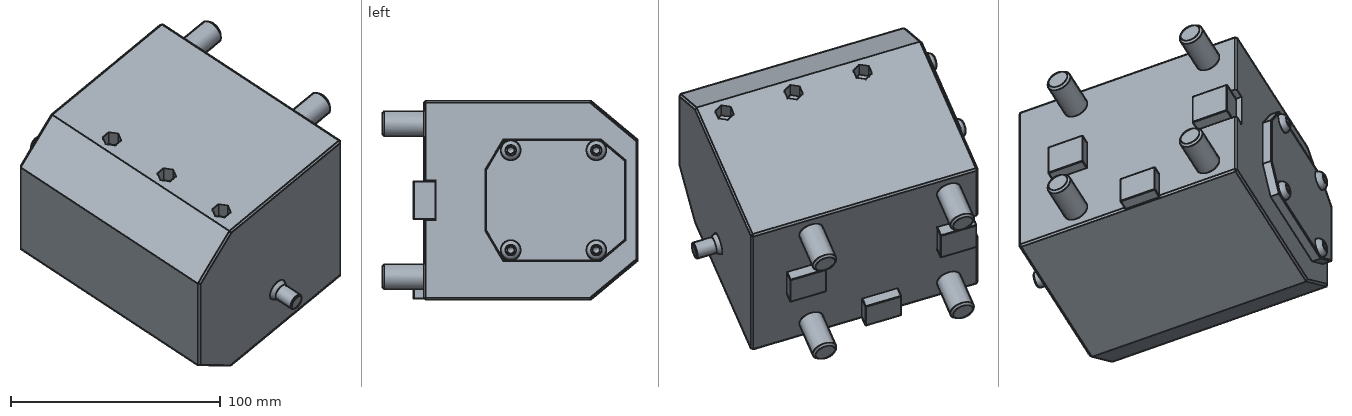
import cadquery as cq
import math

BODY_LENGTH = 115.0
BODY_DEPTH = 102.0
BODY_HEIGHT = 95.0
FRONT_SLOPE_DEPTH = 22.5
FRONT_SLOPE_HEIGHT = 18.8
BODY_CHAMFER = 1.0

COVER_THICKNESS = 4.7
COVER_FRONT = 6.0
COVER_BACK = 72.8
COVER_HEIGHT = 58.1
COVER_FRONT_CUT_DEPTH = 11.9
COVER_FRONT_CUT_HEIGHT = 10.0
COVER_BACK_CUT_DEPTH = 8.6
COVER_BACK_CUT_HEIGHT = 14.6
COVER_CHAMFER = 0.4

SCREW_HEAD_HEIGHT = 3.0
SCREW_HEAD_RADIUS = 4.7
SCREW_TOP_RADIUS = 2.5
SCREW_DOME_BULGE = 0.4
SCREW_SOCKET_FLATS = 3.2
SCREW_SOCKET_DEPTH = 1.6
SCREW_Y = (19.9, 60.7)
SCREW_Z = 23.8

MOUNT_CENTRE_X = 49.8
PIN_DIAMETER = 12.0
PIN_LENGTH = 20.0
PIN_SPACING_X = 69.7
PIN_SPACING_Z = 73.0
PIN_CHAMFER = 1.1
KEY_WIDTH = 18.2
KEY_PROTRUSION = 5.0
KEY_SPACING = 38.1
KEY_CHAMFER = 0.3
BOTTOM_KEY_HEIGHT = 16.0
BOTTOM_KEY_INSET = 0.4
SLOT_DEPTH = 5.7
SLOT_WIDTH = 19.2

NOZZLE_Y = 55.9
NOZZLE_Z = -20.1
BALL_RADIUS = 5.5
BALL_CENTRE_SETBACK = 1.5
TUBE_DIAMETER = 8.0
TUBE_LENGTH = 12.4
TUBE_CHAMFER = 0.5

SOCKET_FLATS = 7.8
SOCKET_DEPTH = 8.1
SOCKET_FIRST_X = 32.5
SOCKET_PITCH = 35.0
SOCKET_COUNT = 3
SOCKET_Y = 29.9
DRILL_POINT_ANGLE = 118
DRILL_OVERSIZE = 1.1

TOP = BODY_HEIGHT / 2


def make_body():
    slope_z = TOP - FRONT_SLOPE_HEIGHT
    outline = [
        (BODY_DEPTH, -TOP),
        (BODY_DEPTH, TOP),
        (FRONT_SLOPE_DEPTH, TOP),
        (0, slope_z),
        (0, -slope_z),
        (FRONT_SLOPE_DEPTH, -TOP),
    ]
    body = cq.Workplane("YZ").polyline(outline).close().extrude(BODY_LENGTH)
    return body.faces("<X or >X or >Y").chamfer(BODY_CHAMFER)


def make_cover():
    half = COVER_HEIGHT / 2
    front_cut_y = COVER_FRONT + COVER_FRONT_CUT_DEPTH
    back_cut_y = COVER_BACK - COVER_BACK_CUT_DEPTH
    front_z = half - COVER_FRONT_CUT_HEIGHT
    back_z = half - COVER_BACK_CUT_HEIGHT
    outline = [
        (front_cut_y, half),
        (COVER_FRONT, front_z),
        (COVER_FRONT, -front_z),
        (front_cut_y, -half),
        (back_cut_y, -half),
        (COVER_BACK, -back_z),
        (COVER_BACK, back_z),
        (back_cut_y, half),
    ]
    cover = cq.Workplane("YZ").polyline(outline).close().extrude(-COVER_THICKNESS)
    return cover.faces("<X").chamfer(COVER_CHAMFER)


def hex_recess(flats, depth):
    """Hexagonal recess going down from Z = 0, ending in a drill point."""
    corner_radius = flats / math.sqrt(3)
    point_depth = corner_radius / math.tan(math.radians(DRILL_POINT_ANGLE / 2))
    full_depth = depth + point_depth
    prism = cq.Workplane("XY").polygon(6, 2 * corner_radius).extrude(-full_depth)
    drill_radius = corner_radius * DRILL_OVERSIZE
    shoulder_depth = full_depth - point_depth * DRILL_OVERSIZE
    profile = [(0, 0), (drill_radius, 0), (drill_radius, -shoulder_depth), (0, -full_depth)]
    drill = cq.Workplane("XZ").polyline(profile).close().revolve(360, (0, 0), (0, 1))
    return prism.intersect(drill)


def make_screw_head():
    """Button head standing on Z = 0, turned to point along -X."""
    mid_radius = (SCREW_HEAD_RADIUS + SCREW_TOP_RADIUS) / 2 + SCREW_DOME_BULGE
    mid_height = SCREW_HEAD_HEIGHT / 2 + SCREW_DOME_BULGE
    head = (
        cq.Workplane("XZ")
        .lineTo(SCREW_HEAD_RADIUS, 0)
        .threePointArc((mid_radius, mid_height), (SCREW_TOP_RADIUS, SCREW_HEAD_HEIGHT))
        .lineTo(0, SCREW_HEAD_HEIGHT)
        .close()
        .revolve(360, (0, 0), (0, 1))
    )
    socket = hex_recess(SCREW_SOCKET_FLATS, SCREW_SOCKET_DEPTH)
    head = head.cut(socket.translate((0, 0, SCREW_HEAD_HEIGHT)))
    return head.rotate((0, 0, 0), (0, 1, 0), -90)


def make_pin():
    pin = cq.Workplane("XZ").circle(PIN_DIAMETER / 2).extrude(-PIN_LENGTH)
    return pin.faces(">Y").chamfer(PIN_CHAMFER)


def make_key(height):
    """Key centred on X and Z, from the slot floor to its outer face."""
    key = (
        cq.Workplane("XY")
        .box(KEY_WIDTH, SLOT_DEPTH + KEY_PROTRUSION, height, centered=(True, False, True))
    )
    return key.edges().chamfer(KEY_CHAMFER).translate((0, BODY_DEPTH - SLOT_DEPTH, 0))


def make_key_slot():
    """Slot for the first side key, open to the cover side and the back."""
    slot_end = MOUNT_CENTRE_X - KEY_SPACING + KEY_WIDTH / 2
    return (
        cq.Workplane("XY")
        .box(slot_end, SLOT_DEPTH, SLOT_WIDTH, centered=(False, False, True))
        .translate((0, BODY_DEPTH - SLOT_DEPTH, 0))
    )


def make_nozzle():
    """Ball and tube along +X, rooted inside the body, with the body's end face at X = 0."""
    tube_radius = TUBE_DIAMETER / 2
    ball_end = math.sqrt(BALL_RADIUS**2 - tube_radius**2)
    profile = (
        cq.Workplane("XY")
        .moveTo(-BALL_CENTRE_SETBACK, 0)
        .lineTo(TUBE_LENGTH, 0)
        .lineTo(TUBE_LENGTH, tube_radius - TUBE_CHAMFER)
        .lineTo(TUBE_LENGTH - TUBE_CHAMFER, tube_radius)
        .lineTo(ball_end - BALL_CENTRE_SETBACK, tube_radius)
        .radiusArc((-BALL_CENTRE_SETBACK, BALL_RADIUS), -BALL_RADIUS)
        .close()
    )
    return profile.revolve(360, (0, 0), (1, 0))


result = make_body().cut(make_key_slot()).union(make_cover())

for screw_y in SCREW_Y:
    for screw_z in (-SCREW_Z, SCREW_Z):
        result = result.union(make_screw_head().translate((-COVER_THICKNESS, screw_y, screw_z)))

for side_x in (-1, 1):
    pin_x = MOUNT_CENTRE_X + side_x * PIN_SPACING_X / 2
    for side_z in (-1, 1):
        pin_z = side_z * PIN_SPACING_Z / 2
        result = result.union(make_pin().translate((pin_x, BODY_DEPTH, pin_z)))
    key_x = MOUNT_CENTRE_X + side_x * KEY_SPACING
    result = result.union(make_key(KEY_WIDTH).translate((key_x, 0, 0)))

bottom_key_z = -TOP + BOTTOM_KEY_INSET + BOTTOM_KEY_HEIGHT / 2
result = result.union(make_key(BOTTOM_KEY_HEIGHT).translate((MOUNT_CENTRE_X, 0, bottom_key_z)))

result = result.union(make_nozzle().translate((BODY_LENGTH, NOZZLE_Y, NOZZLE_Z)))

top_socket = hex_recess(SOCKET_FLATS, SOCKET_DEPTH).rotate((0, 0, 0), (0, 0, 1), 90)
for index in range(SOCKET_COUNT):
    socket_x = SOCKET_FIRST_X + index * SOCKET_PITCH
    result = result.cut(top_socket.translate((socket_x, SOCKET_Y, TOP)))